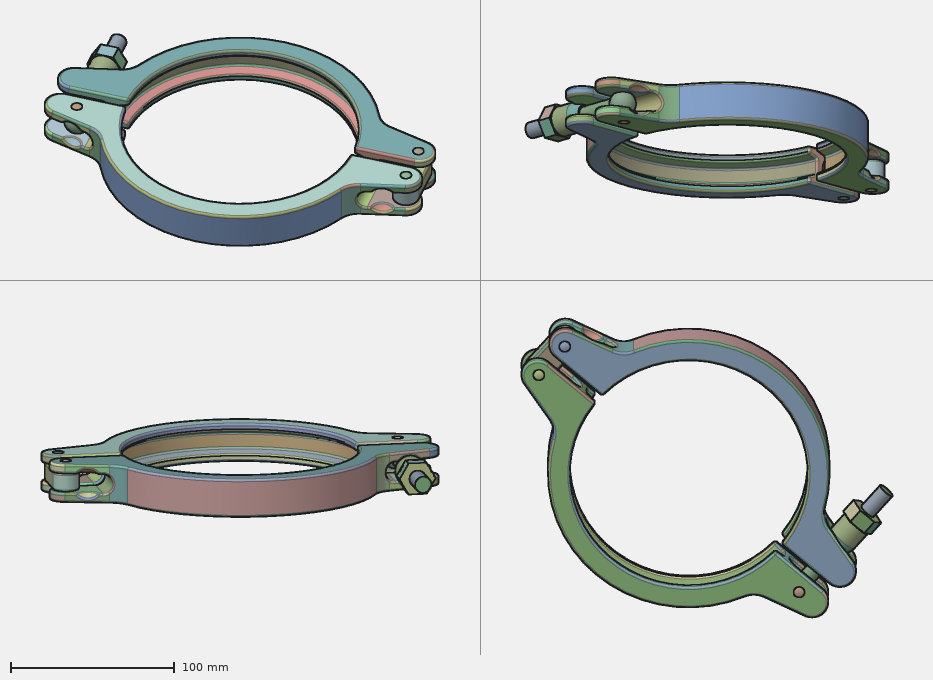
import cadquery as cq
import math

ring_radius = 86.2
bore_radius = 72.5
ring_height = 24.0
ring_face = ring_height / 2
split_gap = 6.0
half_gap = split_gap / 2
edge_round = 1.5

overall_length = 242.0
lug_tip_radius = 10.0
lug_tip_x = overall_length / 2 - lug_tip_radius
lug_tip_y = half_gap + lug_tip_radius
lug_slope = math.radians(15)
lug_blend_radius = 15.0

groove_radius = 79.4
groove_mouth_half = 7.3
groove_flank = math.radians(20)
groove_floor_half = groove_mouth_half - (groove_radius - bore_radius) * math.tan(groove_flank)

slot_height = 11.9
slot_tip_x = 85.0
slot_round_x = slot_tip_x + slot_height / 2

bolt_x = -100.7
shank_radius = 5.0
shank_end_y = 68.2
ball_radius = 8.2
ball_y = -11.9
bolt_pin_y = -13.0
nut_across_corners = 22.5
nut_top_y = 50.5
nut_height = 9.7
nut_bottom_y = nut_top_y - nut_height
sleeve_radius = 9.5
nose_centre_y = 28.0
nose_end_y = 20.8

link_x = 110.8
link_radius = 8.2
link_pin_y = 12.0

pin_radius = 3.5
pin_dome_rise = 0.7

selection_margin = 0.2


def half_blank():
    """Plain upper half of the ring with a lug on each side, pierced by the bore."""
    tangent_x = lug_tip_x + lug_tip_radius * math.sin(lug_slope)
    tangent_y = lug_tip_y + lug_tip_radius * math.cos(lug_slope)
    root_y = tangent_y + (tangent_x - bore_radius) * math.tan(lug_slope)
    tip_middle = (
        lug_tip_x + lug_tip_radius * math.cos(lug_slope / 2),
        lug_tip_y - lug_tip_radius * math.sin(lug_slope / 2),
    )
    lug = (
        cq.Workplane("XY", origin=(0, 0, -ring_face))
        .moveTo(0, half_gap)
        .lineTo(lug_tip_x, half_gap)
        .threePointArc(tip_middle, (tangent_x, tangent_y))
        .lineTo(bore_radius, root_y)
        .lineTo(0, root_y)
        .close()
        .extrude(ring_height)
    )
    upper_side = (
        cq.Workplane("XY", origin=(0, half_gap, 0))
        .box(2 * ring_radius, ring_radius, ring_height, centered=(True, False, True))
    )
    disc = cq.Workplane("XY").cylinder(ring_height, ring_radius).intersect(upper_side)
    blank = disc.union(lug).union(lug.mirror("YZ"))

    inner_corners = cq.selectors.BoxSelector(
        (-ring_radius, lug_tip_y, -ring_face), (ring_radius, ring_radius, ring_face)
    )
    blank = blank.edges("|Z").edges(inner_corners).fillet(lug_blend_radius)
    return blank.cut(cq.Workplane("XY").cylinder(ring_height, bore_radius))


def groove():
    """Disc-shaped cutter for the V-groove, which narrows from the bore to its floor."""
    return (
        cq.Workplane("XZ")
        .moveTo(0, -groove_mouth_half)
        .lineTo(bore_radius, -groove_mouth_half)
        .lineTo(groove_radius, -groove_floor_half)
        .lineTo(groove_radius, groove_floor_half)
        .lineTo(bore_radius, groove_mouth_half)
        .lineTo(0, groove_mouth_half)
        .close()
        .revolve(360, (0, 0, 0), (0, 1, 0))
    )


def lug_slot():
    """Slot through the right lug along Y, with a round inner end and an open outer end."""
    round_end = (
        cq.Workplane("XZ")
        .center(slot_round_x, 0)
        .circle(slot_height / 2)
        .extrude(-ring_radius)
    )
    open_end = (
        cq.Workplane("XY", origin=(slot_round_x, 0, 0))
        .box(ring_radius, ring_radius, slot_height, centered=(False, False, True))
    )
    return round_end.union(open_end)


def nut_seat():
    """Spherical seat in the left lug for the rounded nose of the nut."""
    return cq.Workplane("XY").sphere(sleeve_radius).translate((bolt_x, nose_centre_y, 0))


def round_sharp_edges(half):
    """Round all sharp edges, leaving the lines where faces blend smoothly."""
    end_reach = groove_radius + selection_margin
    ring_ends = cq.selectors.BoxSelector(
        (-end_reach, 0, -ring_face), (end_reach, half_gap + selection_margin, ring_face)
    )
    sharp_edges = half.edges("not (|Z or |Y)").add(half.edges("|Z").edges(ring_ends))
    return sharp_edges.fillet(edge_round)


def clamp_half():
    """One half of the clamp, on the +Y side; both lugs are alike."""
    half = half_blank().cut(groove())
    for cutter in (lug_slot(), nut_seat()):
        half = half.cut(cutter).cut(cutter.mirror("YZ"))
    return round_sharp_edges(half)


def domed_pin(x, y):
    """Pin through both arms of a lug, with a shallow dome standing out at each end."""
    tip = ring_face + pin_dome_rise
    dome_radius = (pin_radius**2 + pin_dome_rise**2) / (2 * pin_dome_rise)
    return (
        cq.Workplane("XZ")
        .moveTo(0, -tip)
        .radiusArc((pin_radius, -ring_face), -dome_radius)
        .lineTo(pin_radius, ring_face)
        .radiusArc((0, tip), -dome_radius)
        .close()
        .revolve(360, (0, 0, 0), (0, 1, 0))
        .translate((x, y, 0))
    )


def ball_shank():
    """Shank of the swing bolt along Y, ending in a ball."""
    neck_y = ball_y + math.sqrt(ball_radius**2 - shank_radius**2)
    return (
        cq.Workplane("XY", origin=(bolt_x, 0, 0))
        .moveTo(0, ball_y - ball_radius)
        .threePointArc((-ball_radius, ball_y), (-shank_radius, neck_y))
        .lineTo(-shank_radius, shank_end_y)
        .lineTo(0, shank_end_y)
        .close()
        .revolve(360, (0, 0, 0), (0, 1, 0))
    )


def sleeve_nut():
    """Hexagon nut with a sleeve whose rounded nose rests in the lug's seat."""
    nose_end_radius = math.sqrt(sleeve_radius**2 - (nose_centre_y - nose_end_y) ** 2)
    nose_middle = sleeve_radius * math.sqrt(0.5)
    sleeve = (
        cq.Workplane("YZ", origin=(bolt_x, 0, 0))
        .moveTo(nose_end_y, 0)
        .lineTo(nose_end_y, nose_end_radius)
        .threePointArc((nose_centre_y - nose_middle, nose_middle), (nose_centre_y, sleeve_radius))
        .lineTo(nut_bottom_y, sleeve_radius)
        .lineTo(nut_bottom_y, 0)
        .close()
        .revolve(360, (0, 0, 0), (1, 0, 0))
    )
    hexagon = (
        cq.Workplane("XZ", origin=(bolt_x, nut_bottom_y, 0))
        .polygon(6, nut_across_corners)
        .extrude(-nut_height)
    )
    return sleeve.union(hexagon)


def swing_bolt():
    """Ball-ended bolt with its nut and hinge pin."""
    return ball_shank().union(sleeve_nut()).union(domed_pin(bolt_x, bolt_pin_y))


def hinge_link():
    """Round-ended bar joining the right lugs, with a pin at each end."""
    link = (
        cq.Workplane("XY", origin=(link_x, 0, -slot_height / 2))
        .slot2D(2 * (link_pin_y + link_radius), 2 * link_radius, 90)
        .extrude(slot_height)
        .faces(">Z or <Z")
        .edges()
        .fillet(edge_round)
    )
    for side in (-1, 1):
        link = link.union(domed_pin(link_x, side * link_pin_y))
    return link


link = hinge_link()

upper_half = clamp_half().cut(link)

lower_half = clamp_half().mirror("XZ").cut(link).union(swing_bolt())

bodies = (link, upper_half, lower_half)
result = cq.Compound.makeCompound([body.solids().val() for body in bodies])